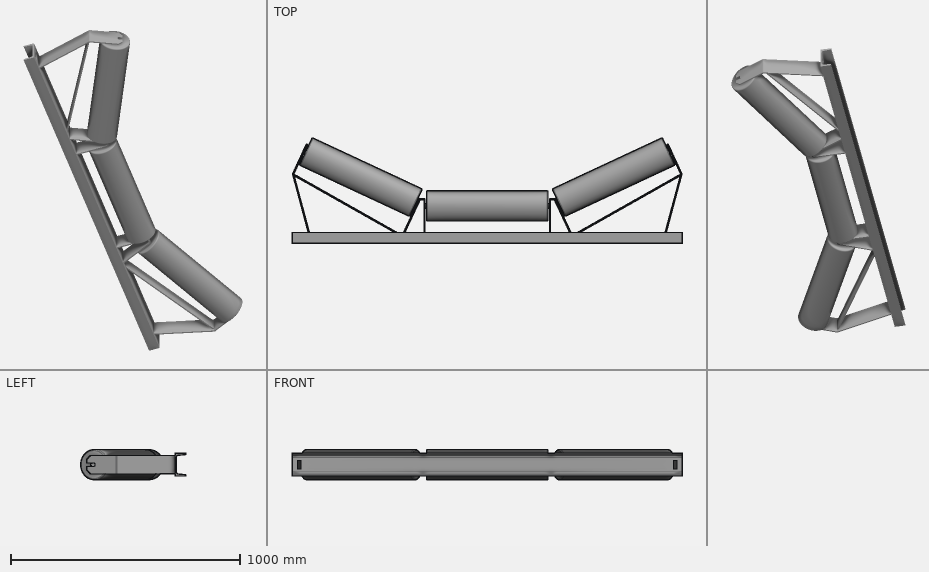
import cadquery as cq
import math

CHANNEL_LENGTH = 1702.0
CHANNEL_HEIGHT = 100.0
CHANNEL_DEPTH = 48.0
WEB_THICKNESS = 6.0
FLANGE_ROOT = 10.5
FLANGE_TIP = 7.0
ROOT_RADIUS = 9.0
TIP_RADIUS = 4.3
BOLT_SLOT_LENGTH = 15.0
BOLT_SLOT_WIDTH = 37.0
BOLT_SLOT_INSET = 30.0

ROLLER_DIAMETER = 133.0
ROLLER_LENGTH = 531.0
ROLLER_EDGE_RADIUS = 5.0
SHAFT_HEIGHT = 22.0
SHAFT_WIDTH = 15.0
WING_ANGLE = 25.0
CENTRE_ROLLER_Y = 163.0
WING_ROLLER_X = 551.0
WING_ROLLER_Y = 290.0

STRIP_THICKNESS = 6.0
STRIP_WIDTH = 80.0
ROLLER_GAP = 5.0
BEND_RADIUS = 2.0
INNER_BRACKET_TOP = 195.0
POST_TOP_REACH = 30.0
POST_BEND_DROP = 114.0
POST_FOOT_ANGLE = 15.0
POST_CORNER_CHAMFER = 17.0
BRACE_FOOT_X = -393.0
BRACE_WIDTH = 56.0

LEG_NEAR = ROLLER_LENGTH / 2 + ROLLER_GAP
LEG_FAR = LEG_NEAR + STRIP_THICKNESS
SHAFT_LENGTH = 2 * LEG_FAR

WING_COS = math.cos(math.radians(WING_ANGLE))
WING_SIN = math.sin(math.radians(WING_ANGLE))


def wing_point(along, across):
    """Point of the left wing roller's frame: along its axis (inwards) and across it (upwards in Y)."""
    x = -WING_ROLLER_X + along * WING_COS + across * WING_SIN
    y = WING_ROLLER_Y - along * WING_SIN + across * WING_COS
    return (x, y)


def wing_leg_point(y, along):
    """Point at height y on the line that crosses the wing axis at the given distance."""
    across = (y - WING_ROLLER_Y + along * WING_SIN) / WING_COS
    return wing_point(along, across)


def along_x(length):
    """Sketch plane facing +X, for extruding a length that is centred on X = 0."""
    return cq.Workplane("YZ", origin=(-length / 2, 0, 0))


def strip(points, width):
    """Plate of the given width and XY outline, centred on Z = 0."""
    return cq.Workplane("XY", origin=(0, 0, -width / 2)).polyline(points).close().extrude(width)


def mirrored(body):
    """Copy of a left-hand body on the right-hand side."""
    return body.mirror("YZ")


def place_on_wing(body):
    """Move a body built along X about the origin onto the left wing roller's axis."""
    return body.rotate((0, 0, 0), (0, 0, 1), -WING_ANGLE).translate((-WING_ROLLER_X, WING_ROLLER_Y, 0))


def make_channel():
    half = CHANNEL_HEIGHT / 2
    web_inner = CHANNEL_DEPTH - WEB_THICKNESS
    outline = [
        (0, half),
        (CHANNEL_DEPTH, half),
        (CHANNEL_DEPTH, -half),
        (0, -half),
        (0, -half + FLANGE_TIP),
        (web_inner, -half + FLANGE_ROOT),
        (web_inner, half - FLANGE_ROOT),
        (0, half - FLANGE_TIP),
    ]
    body = along_x(CHANNEL_LENGTH).polyline(outline).close().extrude(CHANNEL_LENGTH)
    for side in (1, -1):
        root = (0, web_inner, side * (half - FLANGE_ROOT))
        tip = (0, 0, side * (half - FLANGE_TIP))
        body = body.edges(cq.selectors.NearestToPointSelector(root)).fillet(ROOT_RADIUS)
        body = body.edges(cq.selectors.NearestToPointSelector(tip)).fillet(TIP_RADIUS)
    slot_x = CHANNEL_LENGTH / 2 - BOLT_SLOT_INSET
    slots = (
        cq.Workplane("XY")
        .pushPoints([(-slot_x, CHANNEL_DEPTH), (slot_x, CHANNEL_DEPTH)])
        .box(BOLT_SLOT_LENGTH, 2 * CHANNEL_DEPTH, BOLT_SLOT_WIDTH)
    )
    return body.cut(slots)


def make_shaft():
    """Shaft along X with round top and bottom and two flats facing +Z and -Z."""
    return along_x(SHAFT_LENGTH).slot2D(SHAFT_HEIGHT, SHAFT_WIDTH).extrude(SHAFT_LENGTH)


def make_roller():
    shell = (
        along_x(ROLLER_LENGTH)
        .circle(ROLLER_DIAMETER / 2)
        .extrude(ROLLER_LENGTH)
        .edges()
        .fillet(ROLLER_EDGE_RADIUS)
    )
    return shell.union(make_shaft())


def bend(body, outer, inner):
    """Round a fold of the strip at its outer and inner corner points."""
    body = body.edges(cq.selectors.NearestToPointSelector((*inner, 0))).fillet(BEND_RADIUS)
    outer_edge = cq.selectors.NearestToPointSelector((*outer, 0))
    return body.edges(outer_edge).fillet(BEND_RADIUS + STRIP_THICKNESS)


def make_inner_bracket():
    """Left folded bracket that carries the centre roller and the wing roller's inner end."""
    top = INNER_BRACKET_TOP
    under = top - STRIP_THICKNESS
    wing_corner = wing_leg_point(top, LEG_NEAR)
    wing_inside = wing_leg_point(under, LEG_FAR)
    centre_corner = (-LEG_NEAR, top)
    centre_inside = (-LEG_FAR, under)
    body = strip([
        wing_leg_point(CHANNEL_DEPTH, LEG_NEAR),
        wing_corner,
        centre_corner,
        (-LEG_NEAR, CHANNEL_DEPTH),
        (-LEG_FAR, CHANNEL_DEPTH),
        centre_inside,
        wing_inside,
        wing_leg_point(CHANNEL_DEPTH, LEG_FAR),
    ], STRIP_WIDTH)
    body = bend(body, wing_corner, wing_inside)
    body = bend(body, centre_corner, centre_inside)
    shaft = make_shaft()
    return body.cut(shaft.translate((0, CENTRE_ROLLER_Y, 0))).cut(place_on_wing(shaft))


def foot_at_y(start, y):
    """Point at height y on the post's lower leg line through start."""
    return (start[0] + (start[1] - y) * math.tan(math.radians(POST_FOOT_ANGLE)), y)


def post_bend_corners():
    """Outer and inner corner of the outer post's fold."""
    outer = wing_point(-LEG_FAR, -POST_BEND_DROP)
    half_fold = math.radians(WING_ANGLE + POST_FOOT_ANGLE) / 2
    inner = wing_point(-LEG_NEAR, -POST_BEND_DROP + STRIP_THICKNESS * math.tan(half_fold))
    return outer, inner


def make_post():
    """Left folded post that carries the wing roller's outer end."""
    outer, inner = post_bend_corners()
    body = strip([
        wing_point(-LEG_FAR, POST_TOP_REACH),
        wing_point(-LEG_NEAR, POST_TOP_REACH),
        inner,
        foot_at_y(inner, CHANNEL_DEPTH),
        foot_at_y(outer, CHANNEL_DEPTH),
        outer,
    ], STRIP_WIDTH)
    body = bend(body, outer, inner)
    for z in (STRIP_WIDTH / 2, -STRIP_WIDTH / 2):
        corner = (*wing_point(-(LEG_NEAR + LEG_FAR) / 2, POST_TOP_REACH), z)
        body = body.edges(cq.selectors.NearestToPointSelector(corner)).chamfer(POST_CORNER_CHAMFER)
    slot = cq.Workplane("XY").box(2 * LEG_FAR, POST_TOP_REACH, SHAFT_WIDTH)
    slot = slot.translate((0, POST_TOP_REACH / 2, 0)).union(make_shaft())
    return body.cut(place_on_wing(slot))


def make_brace():
    """Left sloping brace from the post's fold down to the channel."""
    _, (x, y) = post_bend_corners()
    slope = math.atan2(y - CHANNEL_DEPTH, BRACE_FOOT_X - x)
    drop = STRIP_THICKNESS / math.cos(slope)
    underside_run = (y - drop - CHANNEL_DEPTH) / math.tan(slope)
    body = strip([
        (x, y),
        (BRACE_FOOT_X, CHANNEL_DEPTH),
        (x + underside_run, CHANNEL_DEPTH),
        (x, y - drop),
    ], BRACE_WIDTH)
    return body.cut(make_post())


channel = make_channel()
roller = make_roller()
centre_roller = roller.translate((0, CENTRE_ROLLER_Y, 0))
left_bodies = [place_on_wing(roller), make_inner_bracket(), make_post(), make_brace()]

solids = [channel.solids().val(), centre_roller.solids().val()]
for left_body in left_bodies:
    solids.append(left_body.solids().val())
    solids.append(mirrored(left_body).solids().val())

result = cq.Compound.makeCompound(solids)